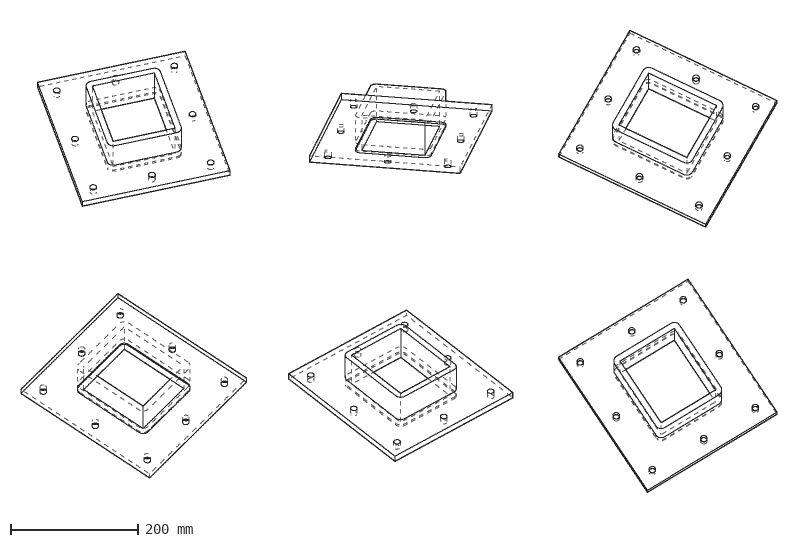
import cadquery as cq

plate_length = 260.5
plate_width = 241.0
plate_thickness = 11.0

tube_length = 140.1
tube_width = 120.5
tube_height = 60
tube_wall = 10.0
corner_radius = tube_wall
tube_below_plate = 3.0

hole_diameter = 10.5
hole_edge_distance = 24.7
hole_offset_x = plate_length / 2 - hole_edge_distance
hole_offset_y = plate_width / 2 - hole_edge_distance


def upright_block(length, width, height, bottom):
    """Box centred on the Z axis, rising from the given level."""
    return (
        cq.Workplane("XY")
        .workplane(offset=bottom)
        .rect(length, width)
        .extrude(height)
    )


plate = upright_block(plate_length, plate_width, plate_thickness, 0)

hole_centres = [
    (column * hole_offset_x, row * hole_offset_y)
    for column in (-1, 0, 1)
    for row in (-1, 0, 1)
    if (column, row) != (0, 0)
]
bolt_holes = (
    cq.Workplane("XY")
    .pushPoints(hole_centres)
    .circle(hole_diameter / 2)
    .extrude(plate_thickness)
)

tube_body = upright_block(tube_length, tube_width, tube_height, -tube_below_plate)
tube_body = tube_body.edges("|Z").fillet(corner_radius)
opening = upright_block(
    tube_length - 2 * tube_wall,
    tube_width - 2 * tube_wall,
    tube_height,
    -tube_below_plate,
)

result = plate.cut(bolt_holes).union(tube_body).cut(opening)